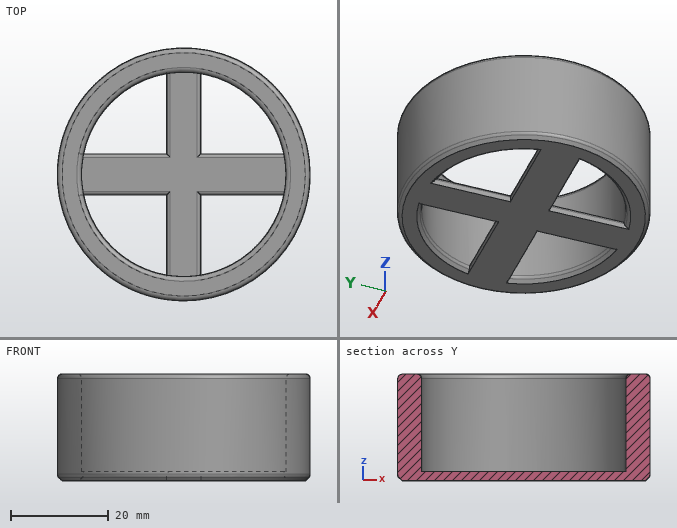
import cadquery as cq

outer_diameter = 52.0
bore_diameter = 42.0
ring_height = 22.0
edge_size = 1.0

bar_along_x_width = 8.5
bar_along_y_width = 7.0
bar_height = 2.0
bar_edge_radius = 0.75


def make_ring():
    """Ring with rounded rims on top and blended chamfers underneath."""
    ring = cq.Workplane("XY").circle(outer_diameter / 2).circle(bore_diameter / 2).extrude(ring_height)
    ring = ring.faces(">Z").edges().fillet(edge_size)
    ring = ring.faces("<Z").edges().chamfer(edge_size)
    chamfer_top = cq.selectors.BoxSelector(
        (-outer_diameter, -outer_diameter, edge_size / 2),
        (outer_diameter, outer_diameter, 1.5 * edge_size),
        boundingbox=True,
    )
    return ring.edges("%CIRCLE").edges(chamfer_top).fillet(edge_size)


def make_cross():
    """Two crossing bars with rounded upper edges, ending inside the ring wall."""
    cross_span = (outer_diameter + bore_diameter) / 2
    bar_along_x = cq.Workplane("XY").rect(cross_span, bar_along_x_width).extrude(bar_height)
    bar_along_y = cq.Workplane("XY").rect(bar_along_y_width, cross_span).extrude(bar_height)
    cross = bar_along_x.union(bar_along_y)
    return cross.faces(">Z").edges().fillet(bar_edge_radius)


result = make_ring().union(make_cross())